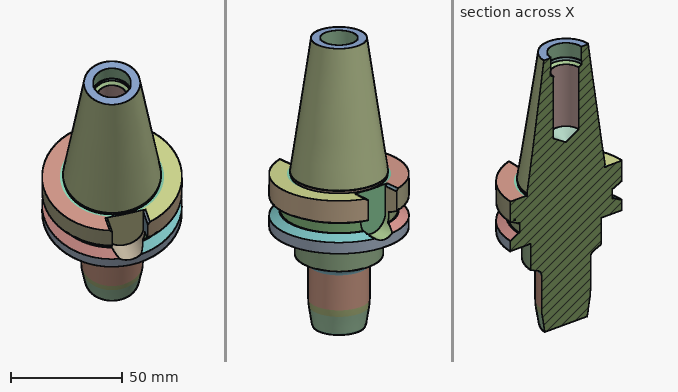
import cadquery as cq
import math

total_height = 140.4
nose_chamfer_top = 1.1
nose_cone_top = 11.4
neck_top = 32.0
flange_bottom = 48.2
lower_rim_top = 53.6
groove_bottom = 56.2
groove_top = 61.1
upper_rim_bottom = 63.3
flange_top = 74.0
taper_bottom = 75.1

nose_end_radius = 12.0
nose_cone_radius = 12.4
neck_radius = 28.0 / 2
collar_radius = 40.0 / 2
flange_radius = 63.0 / 2
groove_floor_radius = 26.4
groove_ledge_radius = 27.0
relief_radius = 43.8 / 2
relief_rim_radius = 23.5
relief_depth = 0.4
relief_lip_height = 0.4

taper_ratio = 7 / 24
taper_large_radius = 22.2
taper_small_radius = taper_large_radius - (total_height - taper_bottom) * taper_ratio / 2

shoulder_angle = math.radians(23)
nose_blend = 21.0
neck_fillet = 2.8
collar_round = 0.8

bore_radius = 17.0 / 2
bore_depth = 7.5
core_radius = 14 / 2
undercut_radius = 17.4 / 2
undercut_depth = 9.1
core_start_depth = 10.2
core_depth = 42.1
drill_point_angle = math.radians(59)

slot_half_width = 8.3
slot_bottom = 52.0
slot_floor_distance = 22.6
slot_edge_chamfer = 1.1


def revolve_profile(points):
    """Turn an (r, z) outline about the Z axis."""
    return cq.Workplane("XZ").polyline(points).close().revolve(360, (0, 0), (0, 1))


def fillet_circle(body, radius, level, size):
    """Round the circular edge of the given radius at the given level."""
    reach = 0.01
    limit = radius + reach
    selector = cq.selectors.BoxSelector((-limit, -limit, level - reach), (limit, limit, level + reach))
    return body.edges(selector).edges(cq.selectors.RadiusNthSelector(-1)).fillet(size)


def make_body():
    collar_bottom = neck_top + (collar_radius - neck_radius) * math.tan(shoulder_angle)
    body = revolve_profile([
        (0, 0),
        (nose_end_radius, 0),
        (nose_cone_radius, nose_chamfer_top),
        (neck_radius, nose_cone_top),
        (neck_radius, neck_top),
        (collar_radius, collar_bottom),
        (collar_radius, flange_bottom),
        (flange_radius, flange_bottom),
        (flange_radius, lower_rim_top),
        (groove_ledge_radius, groove_bottom),
        (groove_floor_radius, groove_bottom),
        (groove_floor_radius, groove_top),
        (groove_ledge_radius, groove_top),
        (flange_radius, upper_rim_bottom),
        (flange_radius, flange_top),
        (relief_rim_radius, flange_top),
        (relief_radius, flange_top - relief_depth),
        (relief_radius, taper_bottom - relief_lip_height),
        (taper_large_radius, taper_bottom),
        (taper_small_radius, total_height),
        (0, total_height),
    ])
    body = fillet_circle(body, neck_radius, nose_cone_top, nose_blend)
    body = fillet_circle(body, neck_radius, neck_top, neck_fillet)
    return fillet_circle(body, collar_radius, collar_bottom, collar_round)


def make_bore():
    point_height = core_radius / math.tan(drill_point_angle)
    return revolve_profile([
        (0, total_height),
        (bore_radius, total_height),
        (bore_radius, total_height - bore_depth),
        (undercut_radius, total_height - bore_depth),
        (undercut_radius, total_height - undercut_depth),
        (core_radius, total_height - core_start_depth),
        (core_radius, total_height - core_depth),
        (0, total_height - core_depth - point_height),
    ])


def make_slot():
    """Round-bottomed slot on the +X side, with chamfered mouth edges."""
    arc_level = slot_bottom + slot_half_width
    mouth_half_width = slot_half_width + slot_edge_chamfer
    return (
        cq.Workplane("YZ", origin=(slot_floor_distance, 0, 0))
        .moveTo(-mouth_half_width, flange_top)
        .lineTo(-slot_half_width, flange_top - slot_edge_chamfer)
        .lineTo(-slot_half_width, arc_level)
        .threePointArc((0, slot_bottom), (slot_half_width, arc_level))
        .lineTo(slot_half_width, flange_top - slot_edge_chamfer)
        .lineTo(mouth_half_width, flange_top)
        .close()
        .extrude(flange_radius)
    )


result = make_body().cut(make_bore())
for side_angle in (0, 180):
    result = result.cut(make_slot().rotate((0, 0, 0), (0, 0, 1), side_angle))